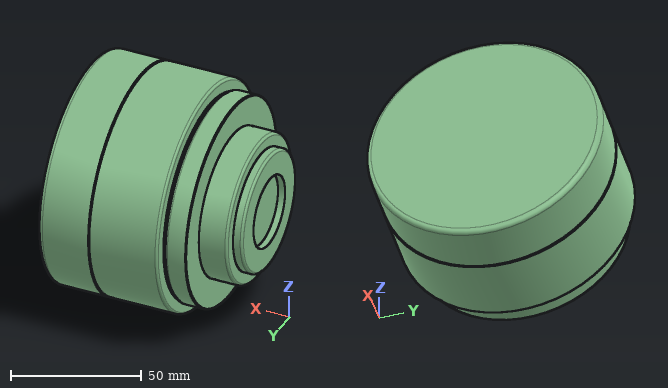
import cadquery as cq
total_length = 76.5
nose_length = 4.0
hub_end = 16.0
flange_end = 25.0
body_start = 26.0
joint_position = 55.0

nose_diameter = 50.0
hub_diameter = 60.9
flange_diameter = 85.0
neck_diameter = 83.4
body_diameter = 94.0
recess_diameter = 29.5

edge_radius = 1.0
flange_back_radius = 1.2
rear_radius = 2.0
small_chamfer = 0.3
joint_width = 0.4
joint_depth = 0.2
recess_depth = 3.0


def disc(start, end, diameter):
    """Cylinder about the X axis between two axial stations."""
    return cq.Workplane("YZ", origin=(start, 0, 0)).circle(diameter / 2).extrude(end - start)


def make_nose():
    return disc(0, hub_end, nose_diameter).faces("<X").edges().fillet(edge_radius)


def make_hub():
    return disc(nose_length, flange_end, hub_diameter).faces("<X").edges().fillet(edge_radius)


def make_flange():
    """Flange with a chamfered front edge and a rounded back edge."""
    flange = disc(hub_end, flange_end, flange_diameter)
    flange = flange.faces("<X").edges().chamfer(small_chamfer)
    return flange.faces(">X").edges().fillet(flange_back_radius)


def make_neck():
    """Slightly narrower ring joining the flange to the body."""
    neck_start = (hub_end + flange_end) / 2
    return disc(neck_start, body_start, neck_diameter).faces(">X").edges().chamfer(small_chamfer)


def make_body():
    body = disc(body_start, total_length, body_diameter)
    body = body.faces("<X").edges().fillet(edge_radius)
    return body.faces(">X").edges().fillet(rear_radius)


def make_joint_groove():
    """Ring that cuts the shallow parting groove around the body."""
    joint_start = joint_position - joint_width / 2
    joint_end = joint_position + joint_width / 2
    ring = disc(joint_start, joint_end, body_diameter + 2 * joint_depth)
    return ring.cut(disc(joint_start, joint_end, body_diameter - 2 * joint_depth))


def make_recess():
    """Blind round pocket in the front face of the nose."""
    return disc(0, recess_depth, recess_diameter)


result = make_nose().union(make_hub()).union(make_flange()).union(make_neck()).union(make_body())
result = result.cut(make_joint_groove()).cut(make_recess())